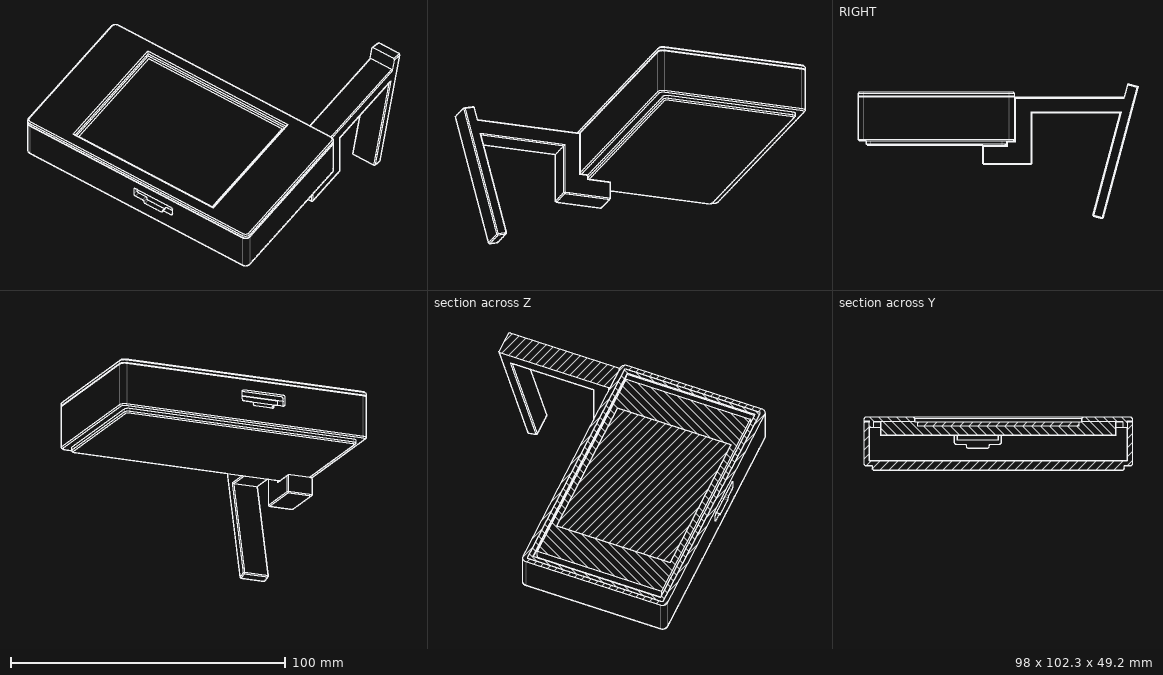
import cadquery as cq
import math


EDGE_CHAMFER = 0.5
CORNER_RADIUS = 4.0 / 2

CASE_LENGTH = 98.0
CASE_WIDTH = 57.1
CASE_TOP = 16.1
WALL = 1.9
FLOOR = 1.9
PANEL_INSET = 3.0
PANEL_THICKNESS = 1.6
PANEL_RADIUS = 1.5

LID_GAP = 0.3
LID_THICKNESS = 1.5
RIM_DEPTH = 2.0
RIM_WALL = 1.5

WINDOW_LENGTH = 60.8
WINDOW_WIDTH = 46.9
WINDOW_CHAMFER = 0.6

PORT_X = 7.5
PORT_LENGTH = 17.1
PORT_TOP = 12.1
PORT_BOTTOM = 7.9
PORT_RADIUS = 0.8
PORT_NOTCH_LENGTH = 8.2
PORT_NOTCH_BOTTOM = 6.5
PORT_NOTCH_RADIUS = 0.5

FRAME_LENGTH = 85.9
FRAME_WIDTH = 49.1
FRAME_BOTTOM = 11.1
CONNECTOR_LENGTH = 15.0
CONNECTOR_DEPTH = 8.2
CONNECTOR_HEIGHT = 1.7
CONNECTOR_SETBACK = 0.5

SCREEN_LENGTH = 59.0
SCREEN_WIDTH = 45.0
SCREEN_THICKNESS = 1.5

STAND_LEFT = 36.7
STAND_WIDTH = 10.0
ARM_TOP = 16.0
ARM_THICKNESS = 5.8
CLIP_WALL = 6.4
CLIP_BOTTOM = -8.6
CLIP_TIP_Y = 16.9
LEG_BACK_Y = 73.7
LEG_BACK_Z = 19.8
LEG_LENGTH = 50.0
LEG_THICKNESS = 4.0
LEG_TILT = 15.0
STAND_CHAMFER = 0.4

REACH = 0.2

LID_BOTTOM = CASE_TOP + LID_GAP
LID_TOP = LID_BOTTOM + LID_THICKNESS
CASE_REAR_Y = CASE_WIDTH / 2
PANEL_REAR_Y = CASE_REAR_Y - PANEL_INSET


def block(length, width, bottom, top):
    """A rectangular block centred on the Z axis."""
    return cq.Workplane("XY").workplane(offset=bottom).rect(length, width).extrude(top - bottom)


def edges_at(centers):
    """A selector of the edges whose middle lies at one of the given points."""
    boxes = [
        cq.selectors.BoxSelector((x - REACH, y - REACH, z - REACH), (x + REACH, y + REACH, z + REACH))
        for x, y, z in centers
    ]
    chosen = boxes[0]
    for box in boxes[1:]:
        chosen = cq.selectors.SumSelector(chosen, box)
    return chosen


def make_port_cutter():
    """The opening for the plug: a rounded slot with a notch below its middle."""
    front = cq.Workplane("XZ", origin=(PORT_X, -CASE_WIDTH / 2 + WALL, 0))
    slot_height = PORT_TOP - PORT_BOTTOM
    slot = (
        front.center(0, PORT_BOTTOM + slot_height / 2)
        .rect(PORT_LENGTH, slot_height)
        .extrude(WALL)
        .edges("|Y")
        .fillet(PORT_RADIUS)
    )
    notch_height = PORT_TOP - PORT_NOTCH_BOTTOM
    notch = (
        front.center(0, PORT_NOTCH_BOTTOM + notch_height / 2)
        .rect(PORT_NOTCH_LENGTH, notch_height)
        .extrude(WALL)
        .edges("|Y and <Z")
        .fillet(PORT_NOTCH_RADIUS)
    )
    wall_middle_y = (WALL - CASE_WIDTH) / 2
    half_notch = PORT_NOTCH_LENGTH / 2
    junctions = [(PORT_X + side * half_notch, wall_middle_y, PORT_BOTTOM) for side in (-1, 1)]
    return slot.union(notch).edges(edges_at(junctions)).fillet(PORT_NOTCH_RADIUS)


def make_panel():
    """The raised panel on the back of the case."""
    panel = block(CASE_LENGTH - 2 * PANEL_INSET, 2 * PANEL_REAR_Y, -PANEL_THICKNESS, 0)
    return panel.edges("|Z").fillet(PANEL_RADIUS).faces("<Z").chamfer(EDGE_CHAMFER)


def make_case():
    """The box with its panel, hollowed from above and opened for the plug."""
    case = block(CASE_LENGTH, CASE_WIDTH, 0, CASE_TOP).edges("|Z").fillet(CORNER_RADIUS)
    case = case.faces("<Z").chamfer(EDGE_CHAMFER)
    inside = block(CASE_LENGTH - 2 * WALL, CASE_WIDTH - 2 * WALL, FLOOR, CASE_TOP)
    return case.union(make_panel()).cut(inside).cut(make_port_cutter())


def make_lid():
    """The cover with its plug, rim and flared screen window."""
    lid = block(CASE_LENGTH, CASE_WIDTH, LID_BOTTOM, LID_TOP).edges("|Z").fillet(CORNER_RADIUS)
    lid = lid.faces(">Z").chamfer(EDGE_CHAMFER)

    rim_length = CASE_LENGTH - 2 * WALL
    rim_width = CASE_WIDTH - 2 * WALL
    rim_bottom = CASE_TOP - RIM_DEPTH
    plug = block(rim_length, rim_width, rim_bottom, LID_BOTTOM)
    rim_inside = block(rim_length - 2 * RIM_WALL, rim_width - 2 * RIM_WALL, rim_bottom, CASE_TOP)
    lid = lid.union(plug.cut(rim_inside))

    window = block(WINDOW_LENGTH, WINDOW_WIDTH, CASE_TOP, LID_TOP)
    flare = (
        cq.Workplane("XY")
        .workplane(offset=LID_TOP)
        .rect(WINDOW_LENGTH + 2 * WINDOW_CHAMFER, WINDOW_WIDTH + 2 * WINDOW_CHAMFER)
        .extrude(-WINDOW_CHAMFER, taper=45)
    )
    return lid.cut(window.union(flare))


def make_screen():
    """The glass plate of the screen."""
    return block(SCREEN_LENGTH, SCREEN_WIDTH, CASE_TOP - SCREEN_THICKNESS, CASE_TOP)


def make_display(screen):
    """The frame with a pocket that fits the screen, and the connector under it."""
    frame = block(FRAME_LENGTH, FRAME_WIDTH, FRAME_BOTTOM, CASE_TOP)
    connector_y = (CONNECTOR_DEPTH - FRAME_WIDTH) / 2 + CONNECTOR_SETBACK
    connector = block(CONNECTOR_LENGTH, CONNECTOR_DEPTH, FRAME_BOTTOM - CONNECTOR_HEIGHT, FRAME_BOTTOM)
    return frame.union(connector.translate((PORT_X, connector_y, 0))).cut(screen)


def midpoint(start, end):
    """The point halfway between two (y, z) points."""
    return ((start[0] + end[0]) / 2, (start[1] + end[1]) / 2)


def make_stand():
    """One bar shape: its outline in Y and Z, extruded along X."""
    tilt = math.radians(LEG_TILT)
    along_y = -math.sin(tilt)
    along_z = -math.cos(tilt)
    across_y = along_z
    across_z = -along_y

    back_top = (LEG_BACK_Y, LEG_BACK_Z)
    back_foot = (LEG_BACK_Y + LEG_LENGTH * along_y, LEG_BACK_Z + LEG_LENGTH * along_z)
    front_foot = (back_foot[0] + LEG_THICKNESS * across_y, back_foot[1] + LEG_THICKNESS * across_z)
    front_top = (LEG_BACK_Y + LEG_THICKNESS * across_y, LEG_BACK_Z + LEG_THICKNESS * across_z)

    def leg_front(z):
        """The point on the front face of the leg at height z."""
        return (front_top[0] + (front_top[1] - z) * along_y / -along_z, z)

    arm_bottom = ARM_TOP - ARM_THICKNESS
    clip_rear_y = CASE_REAR_Y + CLIP_WALL
    upper_corner = leg_front(ARM_TOP)
    profile = [
        back_top,
        back_foot,
        front_foot,
        leg_front(arm_bottom),
        (clip_rear_y, arm_bottom),
        (clip_rear_y, CLIP_BOTTOM),
        (CLIP_TIP_Y, CLIP_BOTTOM),
        (CLIP_TIP_Y, -PANEL_THICKNESS),
        (PANEL_REAR_Y, -PANEL_THICKNESS),
        (PANEL_REAR_Y, 0),
        (CASE_REAR_Y, 0),
        (CASE_REAR_Y, ARM_TOP),
        upper_corner,
        front_top,
    ]
    stand = cq.Workplane("YZ", origin=(STAND_LEFT, 0, 0)).polyline(profile).close().extrude(STAND_WIDTH)

    sharp_y, sharp_z = midpoint(upper_corner, front_top)
    sharp = [(x, sharp_y, sharp_z) for x in (STAND_LEFT, STAND_LEFT + STAND_WIDTH)]
    cross_corners = [(clip_rear_y, CLIP_BOTTOM), (CLIP_TIP_Y, CLIP_BOTTOM), back_foot, front_foot]
    cross = [(STAND_LEFT + STAND_WIDTH / 2, y, z) for y, z in cross_corners]
    outline_edges = stand.edges("#X").edges(cq.selectors.InverseSelector(edges_at(sharp)))
    cross_edges = stand.edges(edges_at(cross))
    return outline_edges.add(cross_edges).chamfer(STAND_CHAMFER)


case = make_case()
lid = make_lid()
screen = make_screen()
display = make_display(screen)
stand = make_stand()

result = cq.Compound.makeCompound(
    [case.val(), lid.val(), screen.val(), display.val(), stand.val()]
)